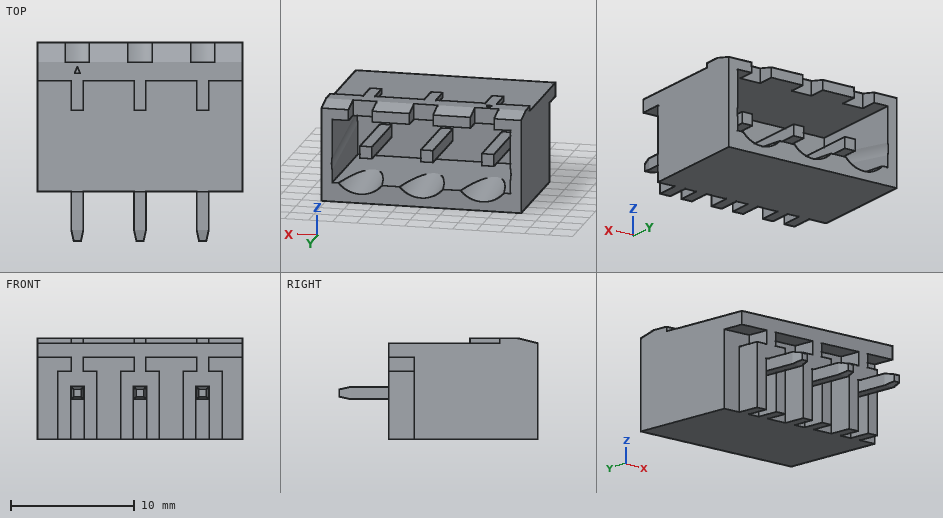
import cadquery as cq


PITCH = 5.08
POLE_COUNT = 3
POLE_XS = [(i - (POLE_COUNT - 1) / 2) * PITCH for i in range(POLE_COUNT)]

WIDTH = 16.64
LENGTH = 12.1
DECK_Z = 7.8
HEIGHT = 8.2
RIDGE_LENGTH = 3.1
BEVEL_LENGTH = 1.6
RIB_WIDTH = 0.97
RIB_END = 5.5

UNDERCUT_DEPTH = 2.1
SHELF_Z = 6.65
FOOT_TOP_Z = 5.5
FOOT_WIDTH = 3.14
SLOT_WIDTH = 1.1

PIN_SIZE = 1.0
PIN_Z = 3.75
PIN_PROJECTION = 4.0
TIP_LENGTH = 0.9
TIP_SIZE = 0.6

WALL = 0.9
CAVITY_TOP_Z = 6.9
CAVITY_DEPTH = 9.0
CAVITY_FLOOR_Z = 1.6
SCALLOP_FLOOR_Z = 0.8
SCALLOP_RADIUS = 2.4
SCALLOP_TAPER = 10.0
PIN_REACH = 7.0
NOTCH_WIDTH = 1.97

MARK_WIDTH = 0.44
MARK_APEX = 0.38
MARK_BASE = 0.9
MARK_DEPTH = 0.1


def block(x_center, x_size, y_min, y_max, z_min, z_max):
    """Box centred on x_center, spanning the given Y and Z ranges."""
    size = (x_size, y_max - y_min, z_max - z_min)
    return cq.Workplane("XY").box(*size, centered=(True, False, False)).translate((x_center, y_min, z_min))


def make_body():
    """Shroud with the bevelled ridge along the mouth and one rib per pole."""
    profile = [
        (0, 0),
        (LENGTH, 0),
        (LENGTH, DECK_Z),
        (LENGTH - BEVEL_LENGTH, HEIGHT),
        (LENGTH - RIDGE_LENGTH, HEIGHT),
        (LENGTH - RIDGE_LENGTH, DECK_Z),
        (0, DECK_Z),
    ]
    body = cq.Workplane("YZ").polyline(profile).close().extrude(WIDTH / 2, both=True)
    for x in POLE_XS:
        body = body.union(block(x, RIB_WIDTH, LENGTH - RIB_END, LENGTH - RIDGE_LENGTH, SHELF_Z, HEIGHT))
    return body


def make_undercut():
    """Space removed under the rear shelf, leaving one slotted foot and neck per pole."""
    undercut = block(0, WIDTH, 0, UNDERCUT_DEPTH, 0, SHELF_Z)
    for x in POLE_XS:
        undercut = undercut.cut(block(x, FOOT_WIDTH, 0, UNDERCUT_DEPTH, 0, FOOT_TOP_Z))
        undercut = undercut.cut(block(x, RIB_WIDTH, 0, UNDERCUT_DEPTH, FOOT_TOP_Z, SHELF_Z))
        undercut = undercut.union(block(x, SLOT_WIDTH, 0, UNDERCUT_DEPTH, 0, PIN_Z + SLOT_WIDTH / 2))
    return undercut


def make_scallop(x):
    """Tilted round trough in the cavity floor, deepest at the mouth."""
    axis_z = SCALLOP_FLOOR_Z + SCALLOP_RADIUS
    trough = cq.Workplane("XZ").circle(SCALLOP_RADIUS).extrude(2 * CAVITY_DEPTH, both=True)
    trough = trough.rotate((0, 0, 0), (1, 0, 0), -SCALLOP_TAPER).translate((x, LENGTH, axis_z))
    return trough.intersect(block(x, WIDTH, LENGTH - CAVITY_DEPTH, LENGTH, 0, CAVITY_TOP_Z))


def make_cavity():
    """Plug cavity open at the mouth, with a scalloped floor and roof notches."""
    inner_width = WIDTH - 2 * WALL
    cavity = block(0, inner_width, LENGTH - CAVITY_DEPTH, LENGTH, CAVITY_FLOOR_Z, CAVITY_TOP_Z)
    for x in POLE_XS:
        cavity = cavity.union(make_scallop(x))
        cavity = cavity.union(block(x, NOTCH_WIDTH, LENGTH - BEVEL_LENGTH, LENGTH, PIN_Z, HEIGHT))
    return cavity


def make_pin(x):
    """Square contact pin with a tapered tip at its -Y end."""
    tip_start = TIP_LENGTH - PIN_PROJECTION
    inner_end = LENGTH - CAVITY_DEPTH + PIN_REACH
    half_size = PIN_SIZE / 2
    shank = block(x, PIN_SIZE, tip_start, inner_end, PIN_Z - half_size, PIN_Z + half_size)
    tip = (
        cq.Workplane("XZ", origin=(x, tip_start, PIN_Z))
        .rect(PIN_SIZE, PIN_SIZE)
        .workplane(offset=TIP_LENGTH)
        .rect(TIP_SIZE, TIP_SIZE)
        .loft(ruled=True)
    )
    return shank.union(tip)


def make_mark():
    """Triangular engraving on the ridge at the first pole."""
    x = POLE_XS[0]
    edge_y = LENGTH - BEVEL_LENGTH
    corners = [
        (x, edge_y - MARK_APEX),
        (x - MARK_WIDTH / 2, edge_y - MARK_BASE),
        (x + MARK_WIDTH / 2, edge_y - MARK_BASE),
    ]
    return cq.Workplane("XY", origin=(0, 0, HEIGHT)).polyline(corners).close().extrude(-MARK_DEPTH)


result = make_body().cut(make_undercut()).cut(make_cavity()).cut(make_mark())
for pole_x in POLE_XS:
    result = result.union(make_pin(pole_x))